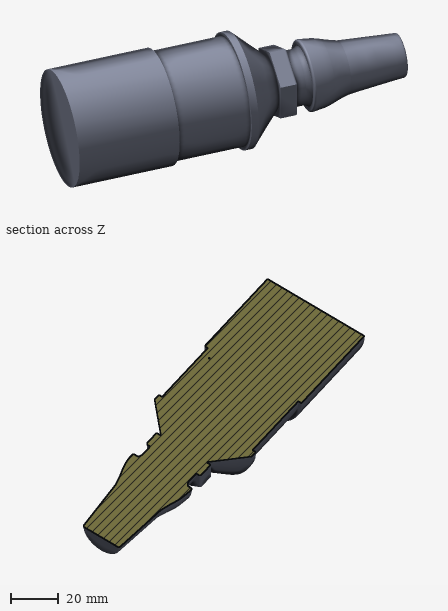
import cadquery as cq
import math

overall_length = 151.47
sleeve_end = 44.45
flange_start = 76.45
flange_end = 79.63
cone_end = 93.15
nut_end = 100.7
neck_end = 105.35
lip_start = 107.85
bulb_blend = 117.5
taper_start = 125.4

body_radius = 50.8 / 2
barrel_radius = 47.5 / 2
neck_radius = 24.21 / 2
cove_radius = 13.05
lip_radius = 15.65
blend_radius = 14.1
taper_radius = 23.37 / 2
tip_radius = 9.6

nut_across_flats = 28.45
nut_rounding = 1.0
lip_rounding = 0.9
tip_rounding = 0.8


def body_profile():
    """Half outline of the turned body, drawn as (radius, Y)."""
    lip_flank = lip_start + lip_rounding
    return (
        cq.Workplane("XY")
        .moveTo(0, 0)
        .lineTo(body_radius, 0)
        .lineTo(body_radius, sleeve_end)
        .lineTo(barrel_radius, sleeve_end)
        .lineTo(barrel_radius, flange_start)
        .lineTo(body_radius, flange_start)
        .lineTo(body_radius, flange_end)
        .lineTo(neck_radius, cone_end)
        .lineTo(neck_radius, neck_end)
        .tangentArcPoint((cove_radius, lip_start), relative=False)
        .lineTo(lip_radius - lip_rounding, lip_start)
        .tangentArcPoint((lip_radius, lip_flank), relative=False)
        .tangentArcPoint((blend_radius, bulb_blend), relative=False)
        .tangentArcPoint((taper_radius, taper_start), relative=False)
        .lineTo(tip_radius, overall_length - tip_rounding)
        .tangentArcPoint((tip_radius - tip_rounding, overall_length), relative=False)
        .lineTo(0, overall_length)
        .close()
    )


def make_turned_body():
    return body_profile().revolve(360, (0, 0, 0), (0, 1, 0))


def make_nut():
    """Hexagon with corners on +Z and -Z, rounded around its tip-side face."""
    across_corners = nut_across_flats / math.cos(math.pi / 6)
    return (
        cq.Workplane("XZ", origin=(0, nut_end, 0))
        .transformed(rotate=(0, 0, 90))
        .polygon(6, across_corners)
        .extrude(nut_end - cone_end)
        .faces(">Y")
        .edges()
        .fillet(nut_rounding)
    )


result = make_turned_body().union(make_nut())